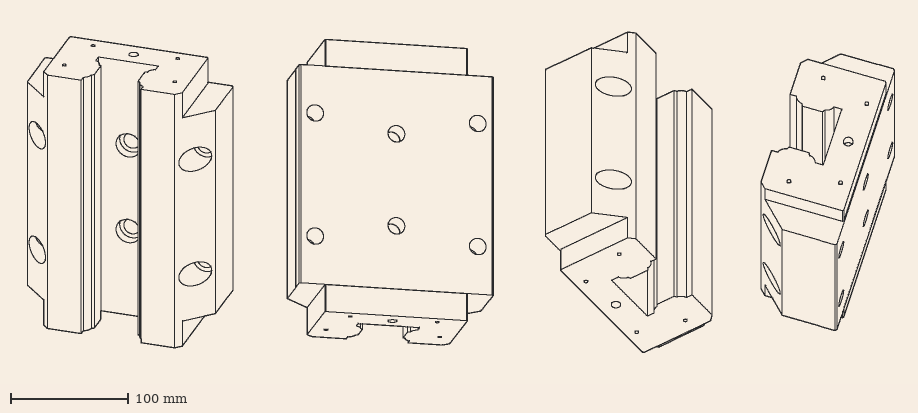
import cadquery as cq
import math

LENGTH = 243.0
WIDTH = 170.0
HEIGHT = 76.0
HALF_WIDTH = WIDTH / 2
TOP_Y = HEIGHT / 2
BOTTOM_Y = -HEIGHT / 2

BODY_LENGTH = 195.0
BODY_TOP_CHAMFER = 1.5
FLANK_BEVEL = 27.7
REFERENCE_BAND_HEIGHT = 14.3
FLANK_RELIEF = 0.2
RELIEF_RAMP = 1.0
BEVEL_TOP_Y = BOTTOM_Y + FLANK_BEVEL
BEVEL_BOTTOM_X = HALF_WIDTH - FLANK_BEVEL

CAP_WIDTH = 125.0
CAP_HALF_WIDTH = CAP_WIDTH / 2
CAP_TOP_GAP = 0.7
CAP_TOP_CHAMFER = 1.0
CAP_LOWER_CHAMFER = CAP_HALF_WIDTH - BEVEL_BOTTOM_X

CHANNEL_HALF_WIDTH = 27.0
CEILING_Y = 8.3
LOBE_CENTER_Y = -15.5
LOBE_ROOT_HALF_HEIGHT = 16.8
LOBE_SHOULDER_X = 21.9
LOBE_SHOULDER_HALF_HEIGHT = 10.2
LOBE_TIP_X = 19.7
LOBE_TIP_HALF_HEIGHT = 9.0
LOBE_ROUND_RADIUS = 7.8

BOLT_DIAMETER = 14.5
FLANGE_BOLT_X = 71.2
FLANGE_BOLT_Z = 55.0
COUNTERBORE_DIAMETER = 22.0
FLANGE_BORE_FLOOR_Y = 3.6
CENTER_BOLT_Z = 41.0
CENTER_BORE_DEPTH = 9.7

DRILL_POINT_ANGLE = 118.0
CAP_SCREW_DIAMETER = 3.2
CAP_SCREW_DEPTH = 7.3
UPPER_SCREW_X = 38.2
UPPER_SCREW_Y = 27.2
LOWER_SCREW_X = 49.8
LOWER_SCREW_Y = -15.3
LUBE_DIAMETER = 8.0
LUBE_DEPTH = 12.2
LUBE_Y = 22.4


def mirrored_prism(right_half, length):
    """Extrude a symmetric outline, given by its +X points, centred on Z."""
    left_half = [(-x, y) for x, y in reversed(right_half)]
    outline = cq.Workplane("XY").polyline(right_half + left_half).close()
    return outline.extrude(length / 2, both=True)


def make_body():
    band_bottom_y = TOP_Y - REFERENCE_BAND_HEIGHT
    relieved_x = HALF_WIDTH - FLANK_RELIEF
    right_half = [
        (HALF_WIDTH - BODY_TOP_CHAMFER, TOP_Y),
        (HALF_WIDTH, TOP_Y - BODY_TOP_CHAMFER),
        (HALF_WIDTH, band_bottom_y),
        (relieved_x, band_bottom_y - RELIEF_RAMP),
        (relieved_x, BEVEL_TOP_Y - FLANK_RELIEF),
        (BEVEL_BOTTOM_X, BOTTOM_Y),
    ]
    return mirrored_prism(right_half, BODY_LENGTH)


def make_caps():
    """One full-length prism; its two ends stand out of the body as the caps."""
    cap_top_y = TOP_Y - CAP_TOP_GAP
    right_half = [
        (CAP_HALF_WIDTH - CAP_TOP_CHAMFER, cap_top_y),
        (CAP_HALF_WIDTH, cap_top_y - CAP_TOP_CHAMFER),
        (CAP_HALF_WIDTH, BOTTOM_Y + CAP_LOWER_CHAMFER),
        (BEVEL_BOTTOM_X, BOTTOM_Y),
    ]
    return mirrored_prism(right_half, LENGTH)


def make_lobe():
    """Rounded lobe on the -X wall of the channel."""
    upper_root = (-CHANNEL_HALF_WIDTH, LOBE_CENTER_Y + LOBE_ROOT_HALF_HEIGHT)
    upper_shoulder = (-LOBE_SHOULDER_X, LOBE_CENTER_Y + LOBE_SHOULDER_HALF_HEIGHT)
    upper_tip = (-LOBE_TIP_X, LOBE_CENTER_Y + LOBE_TIP_HALF_HEIGHT)
    lower_tip = (-LOBE_TIP_X, LOBE_CENTER_Y - LOBE_TIP_HALF_HEIGHT)
    lower_shoulder = (-LOBE_SHOULDER_X, LOBE_CENTER_Y - LOBE_SHOULDER_HALF_HEIGHT)
    lower_root = (-CHANNEL_HALF_WIDTH, LOBE_CENTER_Y - LOBE_ROOT_HALF_HEIGHT)
    outline = (
        cq.Workplane("XY")
        .moveTo(*upper_root)
        .radiusArc(upper_shoulder, LOBE_ROUND_RADIUS)
        .lineTo(*upper_tip)
        .lineTo(*lower_tip)
        .lineTo(*lower_shoulder)
        .radiusArc(lower_root, LOBE_ROUND_RADIUS)
        .close()
    )
    return outline.extrude(LENGTH / 2, both=True)


def make_channel():
    channel_height = CEILING_Y - BOTTOM_Y
    slot = cq.Workplane("XY").box(2 * CHANNEL_HALF_WIDTH, channel_height, LENGTH)
    slot = slot.translate((0, BOTTOM_Y + channel_height / 2, 0))
    lobe = make_lobe()
    return slot.cut(lobe).cut(lobe.mirror("YZ"))


def bolt_hole(x, z, bore_floor_y):
    """Through hole along Y with a counterbore from below up to the given floor."""
    bottom = cq.Workplane("XZ", origin=(x, BOTTOM_Y, z))
    through = bottom.circle(BOLT_DIAMETER / 2).extrude(-HEIGHT)
    counterbore = bottom.circle(COUNTERBORE_DIAMETER / 2).extrude(BOTTOM_Y - bore_floor_y)
    return through.union(counterbore)


def cap_hole(x, y, diameter, depth):
    """Blind hole with a drill point, sunk into the +Z end."""
    radius = diameter / 2
    point_depth = radius / math.tan(math.radians(DRILL_POINT_ANGLE / 2))
    half_section = [(0, 0), (radius, 0), (radius, -depth), (0, -depth - point_depth)]
    hole = cq.Workplane("XZ").polyline(half_section).close().revolve(360, (0, 0), (0, 1))
    return hole.translate((x, y, LENGTH / 2))


result = make_body().union(make_caps()).cut(make_channel())

center_bore_floor_y = CEILING_Y + CENTER_BORE_DEPTH
for end in (-1, 1):
    result = result.cut(bolt_hole(0, end * CENTER_BOLT_Z, center_bore_floor_y))
    for side in (-1, 1):
        flange_hole = bolt_hole(side * FLANGE_BOLT_X, end * FLANGE_BOLT_Z, FLANGE_BORE_FLOOR_Y)
        result = result.cut(flange_hole)

cap_holes = [cap_hole(0, LUBE_Y, LUBE_DIAMETER, LUBE_DEPTH)]
for side in (-1, 1):
    for x, y in ((UPPER_SCREW_X, UPPER_SCREW_Y), (LOWER_SCREW_X, LOWER_SCREW_Y)):
        cap_holes.append(cap_hole(side * x, y, CAP_SCREW_DIAMETER, CAP_SCREW_DEPTH))
for hole in cap_holes:
    result = result.cut(hole).cut(hole.mirror("XY"))